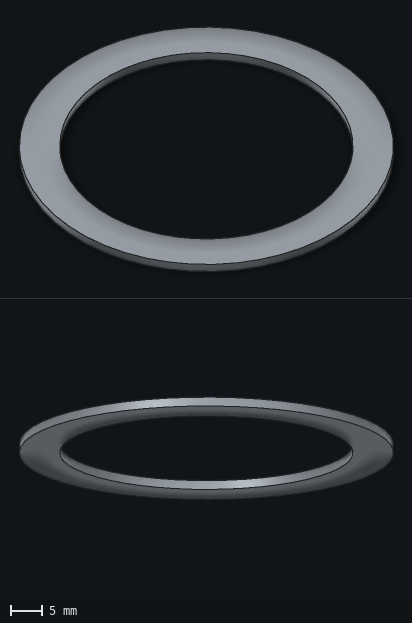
import cadquery as cq

outer_diameter = 60.0
inner_diameter = 47.0
thickness = 1.5

result = (
    cq.Workplane("XY")
    .circle(outer_diameter / 2)
    .circle(inner_diameter / 2)
    .extrude(thickness)
)